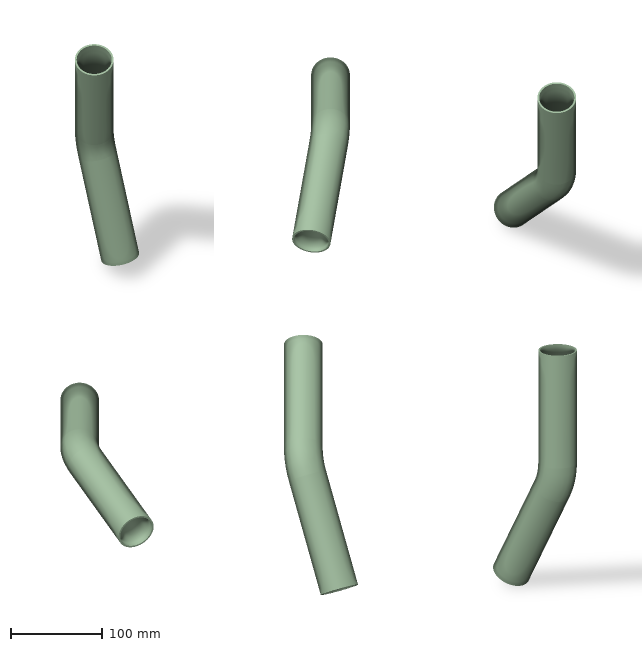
import cadquery as cq
import math

overall_height = 285.0
outer_diameter = 42.5
inner_diameter = 38.5
bend_radius = 63.8
bend_angle = 30.0

angle = math.radians(bend_angle)
outer_radius = outer_diameter / 2
bend_and_tip_height = (bend_radius + outer_radius) * math.sin(angle)
leg_length = (overall_height - bend_and_tip_height) / (1 + math.cos(angle))


def tube_section(workplane):
    """Draw the ring-shaped cross-section of the tube."""
    return workplane.circle(outer_diameter / 2).circle(inner_diameter / 2)


upper_leg = tube_section(cq.Workplane("XY")).extrude(leg_length)

bend = tube_section(cq.Workplane("XY")).revolve(
    bend_angle, (bend_radius, 0, 0), (bend_radius, -1, 0)
)

bend_end = (bend_radius * (1 - math.cos(angle)), 0, -bend_radius * math.sin(angle))
lower_direction = (math.sin(angle), 0, -math.cos(angle))
lower_plane = cq.Plane(origin=bend_end, xDir=(0, 1, 0), normal=lower_direction)
lower_leg = tube_section(cq.Workplane(lower_plane)).extrude(leg_length)

result = upper_leg.union(bend).union(lower_leg)